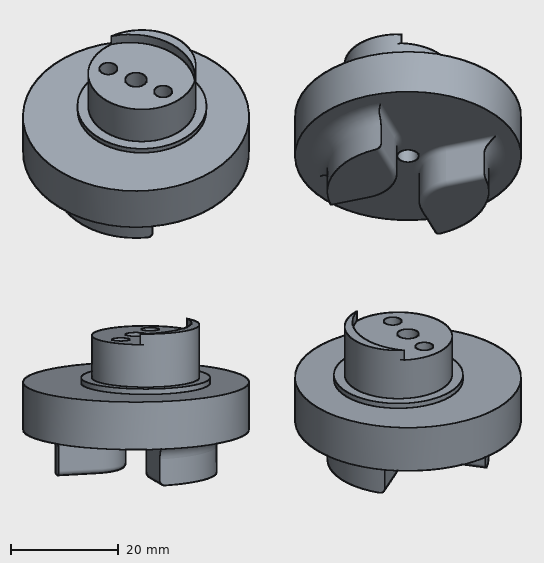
import cadquery as cq
import math

disk_diameter = 42.0
disk_height = 9.0

boss_offset_y = 2.0
collar_diameter = 24.0
collar_height = 1.0
boss_diameter = 20.0
boss_height = 8.0
lip_height = 2.0
lip_inner_diameter = 24.2
lip_inner_y = -boss_offset_y

bore_diameter = 4.0
pin_hole_diameter = 3.3
pin_hole_depth = boss_height + collar_height
pin_hole_centers = [(-6.0, -0.2), (6.0, 0.0)]

leg_height = 8.02
leg_outer_radius = 15.0
leg_nose_distance = 3.1
leg_foot_radius = 3.02
leg_side_radius = 1.0
leg_rotations = [0, 180]

disk_top = disk_height
boss_base = disk_top + collar_height
boss_top = boss_base + boss_height
quarter_arc = math.sqrt(0.5)


def cylinder(diameter, base, height, center=(0, 0)):
    return cq.Workplane("XY", origin=(*center, base)).circle(diameter / 2).extrude(height)


def leg_envelope():
    """Full round body with a concave flare where its outside meets the disk."""
    foot_start = -leg_foot_radius
    flare_edge = leg_outer_radius + leg_foot_radius
    flare_middle = flare_edge - leg_foot_radius * quarter_arc
    return (
        cq.Workplane("XZ")
        .lineTo(0, -leg_height)
        .lineTo(leg_outer_radius, -leg_height)
        .lineTo(leg_outer_radius, foot_start)
        .threePointArc((flare_middle, foot_start + leg_foot_radius * quarter_arc), (flare_edge, 0))
        .close()
        .revolve(360, (0, 0, 0), (0, 1, 0))
    )


def leg_wedge():
    """Right-angled wedge on +Y with a round nose, flared at the disk and rounded at the free end."""
    reach = disk_diameter
    nose_radius = leg_nose_distance / (1 / quarter_arc - 1)
    tangent = nose_radius * quarter_arc
    wedge = (
        cq.Workplane("XY")
        .moveTo(-reach, reach)
        .lineTo(-tangent, tangent)
        .threePointArc((0, leg_nose_distance), (tangent, tangent))
        .lineTo(reach, reach)
        .close()
        .extrude(-leg_height)
    )
    wedge = wedge.edges("<Z").edges("not(>Y)").fillet(leg_side_radius)
    plate_width = 4 * reach
    plate = cq.Workplane("XY").rect(plate_width, plate_width).extrude(disk_height)
    margin = leg_side_radius / 2
    foot_edges = cq.selectors.BoxSelector((-reach, 0, -margin), (reach, reach - margin, margin))
    return wedge.union(plate).edges(foot_edges).fillet(leg_side_radius)


def leg():
    return leg_wedge().intersect(leg_envelope())


def boss():
    center = (0, boss_offset_y)
    collar = cylinder(collar_diameter, disk_top, collar_height, center)
    post = cylinder(boss_diameter, boss_base, boss_height + lip_height, center)
    lip_recess = cylinder(lip_inner_diameter, boss_top, lip_height, (0, lip_inner_y))
    return collar.union(post.cut(lip_recess))


result = cylinder(disk_diameter, 0, disk_height).union(boss())

for rotation in leg_rotations:
    result = result.union(leg().rotate((0, 0, 0), (0, 0, 1), rotation))

result = result.cut(cylinder(bore_diameter, 0, boss_top))

for center in pin_hole_centers:
    result = result.cut(cylinder(pin_hole_diameter, boss_top - pin_hole_depth, pin_hole_depth, center))